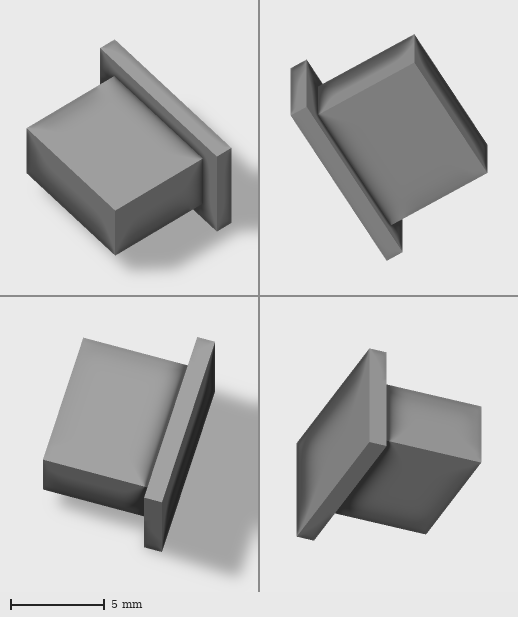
import cadquery as cq

flange_width = 10.0
flange_height = 6.0
flange_thickness = 1.0

rim = 1.2
plug_length = 6.0
plug_width = flange_width - 2 * rim
plug_height = flange_height - 2 * rim

flange = cq.Workplane("XZ").rect(flange_width, flange_height).extrude(flange_thickness)
result = flange.faces("<Y").workplane().rect(plug_width, plug_height).extrude(plug_length)